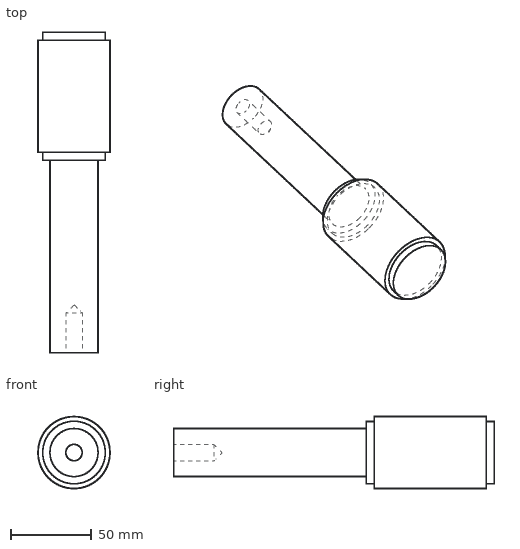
import cadquery as cq
import math

total_length = 200.0
shaft_diameter = 30.0
collar_diameter = 39.0
body_diameter = 45.0

head_length = 80.0
collar_length = 5.0
shaft_length = total_length - head_length
body_length = head_length - 2 * collar_length

hole_diameter = 10.2
hole_depth = 25.0
drill_point_angle = 90.0


def cylinder_along_y(diameter, start, length):
    """Solid cylinder about the Y axis, running from Y = start toward +Y."""
    return cq.Workplane(cq.Solid.makeCylinder(
        diameter / 2, length, cq.Vector(0, start, 0), cq.Vector(0, 1, 0)))


def stepped_pin():
    """Shaft, front collar, body and rear collar joined end to end."""
    sections = [
        (shaft_diameter, shaft_length),
        (collar_diameter, collar_length),
        (body_diameter, body_length),
        (collar_diameter, collar_length),
    ]
    pin = cq.Workplane()
    start = 0.0
    for diameter, length in sections:
        pin = pin.add(cylinder_along_y(diameter, start, length))
        start += length
    return pin.combine()


def drilled_hole():
    """Straight bore from the shaft end, closed by a conical drill point."""
    radius = hole_diameter / 2
    point_length = radius / math.tan(math.radians(drill_point_angle / 2))
    return (
        cq.Workplane("XY")
        .lineTo(radius, 0)
        .lineTo(radius, hole_depth)
        .lineTo(0, hole_depth + point_length)
        .close()
        .revolve(360, (0, 0, 0), (0, 1, 0))
    )


result = stepped_pin().cut(drilled_hole())